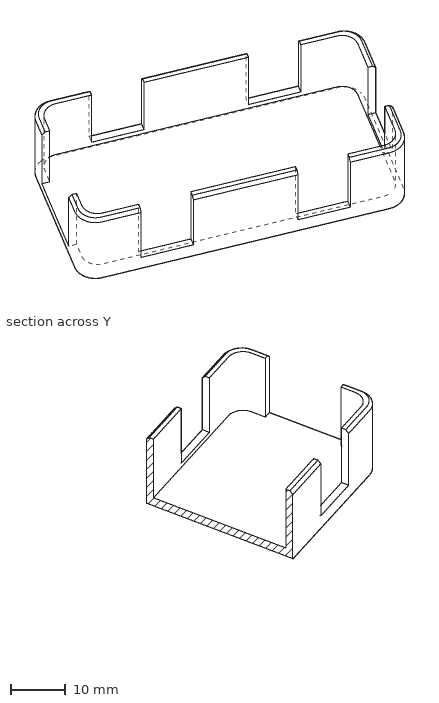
import cadquery as cq

width = 31.0
length = 63.0
height = 16.0
wall = 1.5
floor_thickness = 2.0
corner_radius = 4.0
inner_corner_radius = 3.0
rim_chamfer = 0.6

slot_width = 10.0
slot_sill = 3.0
side_slot_offset = slot_width * 1.5
front_opening_width = 16.0
cut_depth = 2 * corner_radius


def rounded_block(size_x, size_y, size_z, radius):
    """Block standing on Z = 0 with rounded vertical edges."""
    block = cq.Workplane("XY").box(size_x, size_y, size_z, centered=(True, True, False))
    return block.edges("|Z").fillet(radius)


def opening(size_x, size_y, sill, x, y):
    """Box that opens a wall from the sill height up through the rim."""
    box = cq.Workplane("XY").box(size_x, size_y, height, centered=(True, True, False))
    return box.translate((x, y, sill))


body = rounded_block(width, length, height, corner_radius).faces(">Z").chamfer(rim_chamfer)
cavity = rounded_block(width - 2 * wall, length - 2 * wall, height, inner_corner_radius)
result = body.cut(cavity.translate((0, 0, floor_thickness)))

for x in (-width / 2, width / 2):
    for y in (-side_slot_offset, side_slot_offset):
        result = result.cut(opening(cut_depth, slot_width, slot_sill, x, y))

result = result.cut(opening(front_opening_width, cut_depth, floor_thickness, 0, -length / 2))
result = result.cut(opening(slot_width, cut_depth, slot_sill, 0, length / 2))